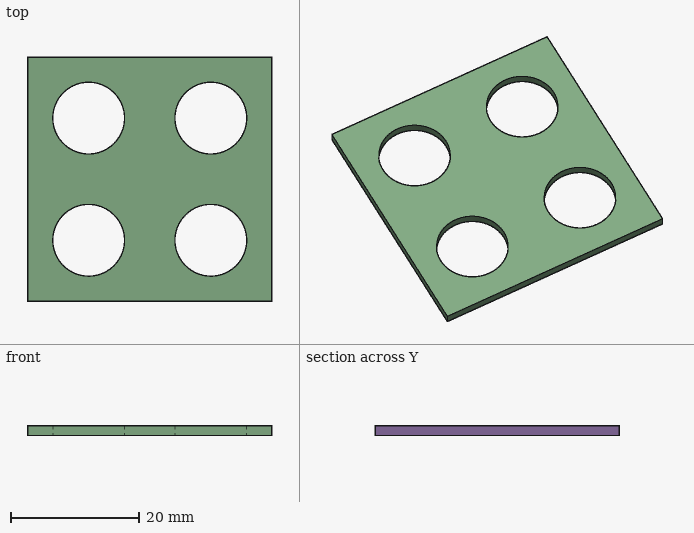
import cadquery as cq

plate_side = 38.1
plate_thickness = 1.55

hole_diameter = 11.15
holes_per_side = 2
hole_pitch = plate_side / holes_per_side

plate = cq.Workplane("XY").box(plate_side, plate_side, plate_thickness)

result = (
    plate.faces(">Z")
    .workplane()
    .rarray(hole_pitch, hole_pitch, holes_per_side, holes_per_side)
    .hole(hole_diameter)
)